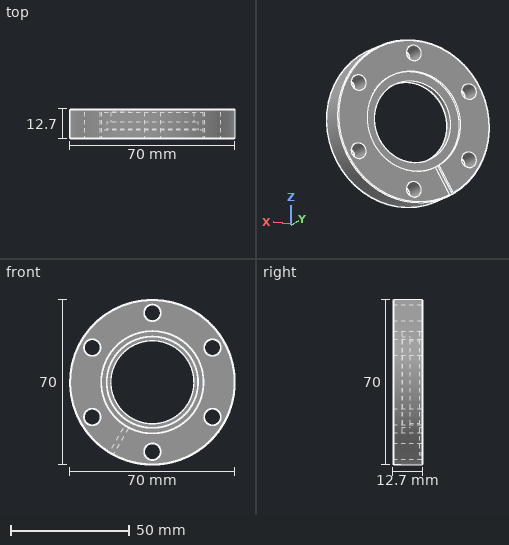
import cadquery as cq
import math

outer_radius = 35.0
thickness = 12.7
rim_chamfer = 0.4
ring_bore_radius = 21.5
edge_chamfer = 0.3

bolt_count = 6
bolt_circle_radius = 29.3
bolt_hole_radius = 3.35

groove_width = 1.95
groove_depth = 1.4
groove_angle = -90.0 - 180.0 / bolt_count

insert_front = 3.8
socket_depth = 3.35
socket_radius = 19.2
insert_bore_radius = 17.5
insert_back = 11.2
insert_length = insert_back - insert_front
shoulder_length = insert_length - socket_depth


def cylinder(radius, start, length, x=0.0, z=0.0):
    """Solid cylinder along +Y, starting at Y = start."""
    axis_start = cq.Vector(x, start, z)
    return cq.Workplane(cq.Solid.makeCylinder(radius, length, axis_start, cq.Vector(0, 1, 0)))


def chamfered_hole(radius, start, length, x=0.0, z=0.0):
    """Cutting tool for a hole along +Y with a chamfer at its mouth."""
    mouth = cq.Solid.makeCone(
        radius + edge_chamfer, radius, edge_chamfer, cq.Vector(x, start, z), cq.Vector(0, 1, 0)
    )
    return cylinder(radius, start, length, x, z).union(cq.Workplane(mouth))


def leak_groove():
    """Radial cutting tool reaching from inside the ring bore to beyond the rim."""
    return (
        cq.Workplane("XY")
        .box(outer_radius * 2, groove_depth, groove_width, centered=(False, False, True))
        .translate((0, thickness - groove_depth, 0))
        .rotate((0, 0, 0), (0, 1, 0), -groove_angle)
    )


def make_ring():
    ring = cylinder(outer_radius, 0, thickness).edges("%CIRCLE").chamfer(rim_chamfer)
    ring = ring.cut(chamfered_hole(ring_bore_radius, 0, thickness))
    for index in range(bolt_count):
        angle = math.radians(90 + index * 360 / bolt_count)
        x = bolt_circle_radius * math.cos(angle)
        z = bolt_circle_radius * math.sin(angle)
        ring = ring.cut(chamfered_hole(bolt_hole_radius, 0, thickness, x, z))
    return ring.cut(leak_groove())


def make_insert():
    insert = cylinder(ring_bore_radius, insert_front, insert_length)
    insert = insert.cut(chamfered_hole(socket_radius, insert_front, socket_depth))
    socket_floor = insert_front + socket_depth
    return insert.cut(cylinder(insert_bore_radius, socket_floor, shoulder_length))


flange_ring = make_ring()
insert = make_insert()

result = cq.Compound.makeCompound([flange_ring.val(), insert.val()])